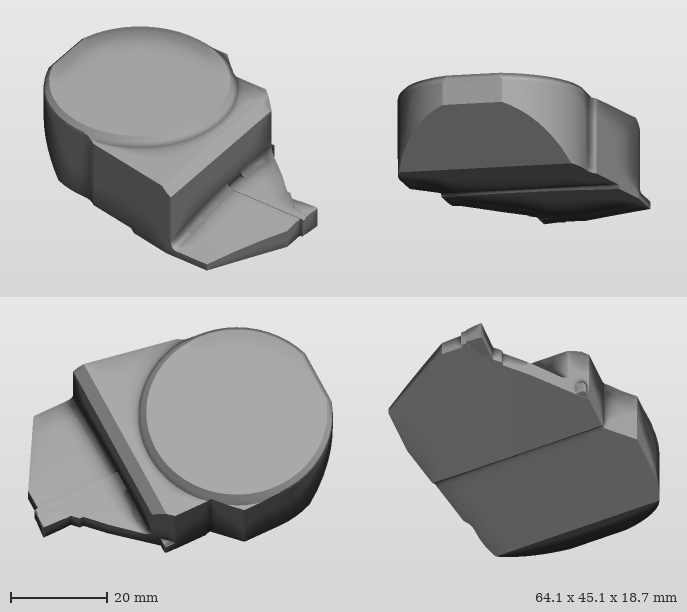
import cadquery as cq
import math

body_top = 16.9
disc_top = 18.65
strip_top = 4.95

round_radius = 20.0
flat_half_width = 6.35
round_x = math.sqrt(round_radius**2 - flat_half_width**2)

disc_radius = 19.9
disc_chamfer = 1.0
flare_base = 17.05
flare_width = 0.5

block_back_y = 14.75
block_front_y = -25.05
wall_x = 44.5
wall_chamfer_x = 2.4
wall_chamfer_z = 1.85
corner_x = 27.25
corner_run = round_radius - block_back_y
blend_length = 3.15
waist_y = -21.2
block_front_x = 43.4

heel_height = 12.2
heel_bottom = 0.9
pad_x = 33.1
pad_crown = 0.4

shelf_radius = 96.15
shelf_fillet = 1.55
shelf_end_x = 62.95
shelf_front_x = 53.7
shelf_side_y = -9.15
blade_front_y = -4.55
blade_back_y = 0.1
blade_end_x = 63.8
hump_y = 1.5
hump_start_x = 46.7
hump_end_x = 56.3
back_bend_x = 51.55
back_bend_y = 5.4
hump_run = hump_y - blade_back_y
end_chamfer = 0.25

lip_end_x = 43.1
lip_front_y = 11.55
lip_top = 3.85
lip_top_chamfer = 0.65
lip_corner_chamfer = 0.3
back_edge_x = 40.7

insert_start_x = 59.3
insert_tip_x = 64.1
insert_heel_y = -1.85
insert_base_y = -3.45
insert_bottom = 0.25
insert_tip_top = 5.4
insert_start_top = 5.05
insert_base_top = 4.95
insert_base_bottom = 0.5

reach = 96.15


def prism(points, bottom, top):
    """Upright prism between two heights."""
    return cq.Workplane("XY").workplane(offset=bottom).polyline(points).close().extrude(top - bottom)


def make_round_end():
    """Cylinder with a small conical flare up to the raised, chamfered disc."""
    half_profile = [
        (0, 0), (round_radius, 0), (round_radius, flare_base), (disc_radius, disc_top - disc_chamfer),
        (disc_radius - disc_chamfer, disc_top), (0, disc_top),
    ]
    return (
        cq.Workplane("XZ").polyline(half_profile).close()
        .revolve(360, (0, 0, 0), (0, 1, 0)).translate((round_x, 0, 0))
    )


def make_flare(block):
    """Cone between the top of the block and the disc, kept within the block's sides."""
    flare_height = disc_top - disc_chamfer - body_top
    cone = cq.Solid.makeCone(round_radius + flare_width, disc_radius, flare_height)
    block_above = block.translate((0, 0, flare_height))
    return block_above.intersect(cq.Workplane(cone.translate((round_x, 0, body_top))))


def make_block():
    """Block and shelf outline at full block height, with the wall's top edge bevelled."""
    blend_drop = -round_radius - waist_y
    blend_radius = (blend_length**2 + blend_drop**2) / (2 * blend_drop)
    block = (
        cq.Workplane("XY")
        .moveTo(round_x, -round_radius)
        .radiusArc((round_x + blend_length, waist_y), blend_radius)
        .lineTo(block_front_x, block_front_y)
        .lineTo(shelf_front_x, block_front_y)
        .lineTo(shelf_end_x, shelf_side_y)
        .lineTo(shelf_end_x, blade_back_y)
        .lineTo(hump_end_x + hump_run, blade_back_y)
        .lineTo(hump_end_x, hump_y)
        .lineTo(back_bend_x + back_bend_y - hump_y, hump_y)
        .lineTo(back_bend_x, back_bend_y)
        .lineTo(back_edge_x, block_back_y)
        .lineTo(corner_x + corner_run, block_back_y)
        .lineTo(corner_x, round_radius)
        .lineTo(round_x, round_radius)
        .close()
        .extrude(body_top)
    )
    bevel = (
        cq.Workplane("XZ")
        .polyline([(wall_x - wall_chamfer_x, body_top), (wall_x, body_top - wall_chamfer_z),
                   (wall_x, body_top)])
        .close().extrude(reach / 2, both=True)
    )
    return block.cut(bevel)


def make_shelf_clearance():
    """Space above the shelf: crowned floor, rounded where it meets the wall."""
    half = reach / 2
    edge_z = strip_top - shelf_radius + math.sqrt(shelf_radius**2 - half**2)
    clearance = (
        cq.Workplane("YZ").workplane(offset=wall_x)
        .moveTo(-half, edge_z)
        .threePointArc((0, strip_top), (half, edge_z))
        .lineTo(half, reach).lineTo(-half, reach).close()
        .extrude(reach)
    )
    floor_edge = cq.selectors.NearestToPointSelector((wall_x, 0, strip_top))
    return clearance.edges(floor_edge).fillet(shelf_fillet)


def strip_points():
    """Plan of the flat strip that carries the insert."""
    return [
        (wall_x, blade_front_y), (blade_end_x, blade_front_y), (blade_end_x, blade_back_y),
        (hump_end_x + hump_run, blade_back_y), (hump_end_x, hump_y), (hump_start_x, hump_y),
        (hump_start_x - hump_run, blade_back_y), (wall_x, blade_back_y),
    ]


def make_strip():
    """Flat strip with bevelled top and bottom end edges."""
    return prism(strip_points(), pad_crown, strip_top).faces(">X").edges("|Y").chamfer(end_chamfer)


def make_lip():
    """Low lip filling the cut corner at the back of the block."""
    bevel_y = block_back_y - lip_top_chamfer
    lip = (
        cq.Workplane("YZ").workplane(offset=back_edge_x)
        .polyline([(lip_front_y, pad_crown), (block_back_y, pad_crown),
                   (block_back_y, lip_top - lip_top_chamfer), (bevel_y, lip_top), (lip_front_y, lip_top)])
        .close().extrude(lip_end_x - back_edge_x)
    )
    return lip.edges("|Z and >X and >Y").chamfer(lip_corner_chamfer)


def make_underside_clearance():
    """Space below the heel, the step and the slightly crowned pad."""
    heel_run = heel_height - heel_bottom
    heel = (
        cq.Workplane("XZ")
        .polyline([(0, heel_height), (heel_run, heel_bottom), (pad_x, heel_bottom),
                   (pad_x + heel_bottom, 0), (pad_x + heel_bottom, -reach), (-reach, -reach),
                   (-reach, heel_height)])
        .close().extrude(reach / 2, both=True)
    )
    pad = (
        cq.Workplane("YZ")
        .moveTo(block_front_y, 0)
        .threePointArc((0, pad_crown), (-block_front_y, 0))
        .close().extrude(reach)
    )
    return heel.union(pad)


def make_insert():
    """Cutting insert, tapering downwards from its cutting edge at the back."""
    def section(x, top):
        return (
            cq.Workplane("YZ").workplane(offset=x)
            .polyline([(blade_back_y, insert_bottom), (blade_back_y, top),
                       (insert_base_y, insert_base_top), (insert_base_y, insert_base_bottom)])
            .close().wires().val()
        )

    wedge = cq.Solid.makeLoft([section(insert_start_x, insert_start_top),
                               section(insert_tip_x, insert_tip_top)], True)
    plan = prism([(insert_start_x, blade_back_y), (insert_start_x, insert_heel_y),
                  (blade_end_x - end_chamfer, insert_base_y), (blade_end_x, insert_base_y),
                  (insert_tip_x, blade_back_y)], insert_bottom, insert_tip_top)
    end_edges = plan.edges("#Z").edges(cq.selectors.BoxSelector(
        (blade_end_x, insert_base_y, 0), (insert_tip_x, blade_back_y, reach)))
    return cq.Workplane(wedge).intersect(end_edges.chamfer(end_chamfer))


def make_insert_pocket():
    """Through cutout in the strip with the same plan as the insert."""
    return prism([(insert_start_x, reach), (insert_start_x, insert_heel_y),
                  (blade_end_x - end_chamfer, insert_base_y), (reach, insert_base_y),
                  (reach, reach)], -reach, reach)


def make_holder():
    """Round end, block and blade as one solid, with the insert pocket cut out."""
    block = make_block()
    holder = block.union(make_round_end()).union(make_flare(block))
    holder = holder.cut(make_shelf_clearance())
    holder = holder.union(make_strip()).cut(prism(strip_points(), strip_top, body_top / 2))
    holder = holder.union(make_lip())
    outside_flat = cq.Workplane("XY").box(reach, reach, 2 * reach).translate((-reach / 2, 0, 0))
    holder = holder.cut(outside_flat)
    flat_bevel = (
        cq.Workplane("XZ")
        .polyline([(0, disc_top - disc_chamfer), (disc_chamfer, disc_top), (0, disc_top)])
        .close().extrude(reach / 2, both=True)
    )
    return holder.cut(flat_bevel).cut(make_underside_clearance()).cut(make_insert_pocket())


holder = make_holder()
insert = make_insert()
result = cq.Compound.makeCompound([holder.val(), insert.val()])